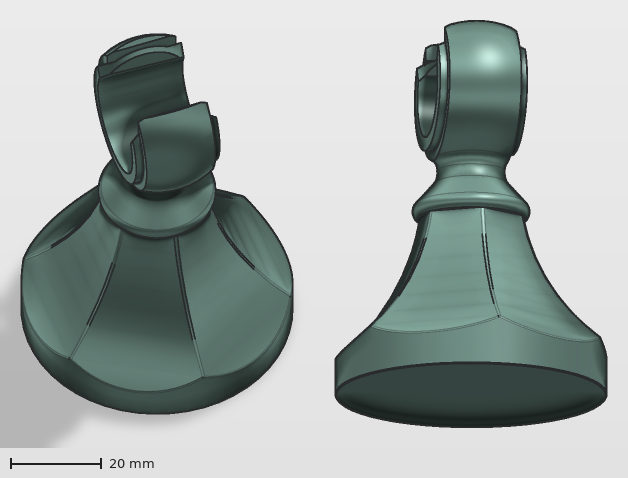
import cadquery as cq
import math

base_diameter = 60.0
base_radius = base_diameter / 2
base_height = 39.95
face_count = 6
edge_top_radius = 12.2
edge_mid_radius = 18.65
edge_mid_z = 23.6
edge_low_radius = 34.7
edge_low_z = 7.7
ridge_fillet = 0.8
rim_fillet = 0.5
foot_chamfer = 0.25
selection_margin = 0.8
rim_search_low_z = 4.1
rim_search_high_z = 13.2

collar_radius = 13.0
collar_top_radius = 12.4
collar_bottom_radius = 12.05
collar_top_z = 43.25
collar_mid_z = (base_height + collar_top_z) / 2
neck_radius = 7.5
neck_low_radius = 8.1
neck_waist_radius = 7.6
neck_low_z = 48.1
neck_waist_z = 49.4
neck_top_z = 50.9
neck_flare_radius = 9.0
neck_flare_z = 54.1
neck_flare_mid_radius = 7.85
neck_flare_mid_z = 52.75
ball_radius = 17.5
ball_half_width = 8.1
tip_half_gap = 11.1
wall_half_gap = 10.0
tip_drop = 0.9
top_z = 82.55
ball_z = top_z - math.sqrt(ball_radius**2 - tip_half_gap**2)

liner_radius = 13.5
liner_belly_radius = 14.9
liner_half_length = 9.8
bore_front_radius = 11.15
bore_back_radius = 10.5
lip_half_gap = 9.1
lip_face_radius = math.sqrt(liner_radius**2 - lip_half_gap**2)
lip_wall_radius = math.sqrt(liner_belly_radius**2 - wall_half_gap**2)
lip_slope = (lip_wall_radius - lip_face_radius) / (wall_half_gap - lip_half_gap)


def ball(radius):
    return cq.Workplane("XY").sphere(radius).translate((0, 0, ball_z))


def cross_cylinder(radius, half_length):
    """Cylinder along Y, centred on the ball."""
    return (
        cq.Workplane("XZ", origin=(0, 0, ball_z)).circle(radius).extrude(half_length, both=True)
    )


def flared_prism():
    """Pair of opposite skirt faces, extruded along X."""
    face_ratio = math.cos(math.pi / face_count)
    top = edge_top_radius * face_ratio
    mid = edge_mid_radius * face_ratio
    low = edge_low_radius * face_ratio
    return (
        cq.Workplane("YZ")
        .moveTo(-low, 0)
        .lineTo(low, 0)
        .lineTo(low, edge_low_z)
        .threePointArc((mid, edge_mid_z), (top, base_height))
        .lineTo(-top, base_height)
        .threePointArc((-mid, edge_mid_z), (-low, edge_low_z))
        .close()
        .extrude(2 * base_radius, both=True)
    )


def make_base():
    skirt = flared_prism()
    for index in range(1, face_count // 2):
        skirt = skirt.intersect(flared_prism().rotate((0, 0, 0), (0, 0, 1), index * 360 / face_count))
    ridges = cq.selectors.BoxSelector(
        (-base_radius, -base_radius, edge_low_z + selection_margin),
        (base_radius, base_radius, base_height - selection_margin),
    )
    skirt = skirt.edges(ridges).fillet(ridge_fillet)
    foot = cq.Workplane("XY").circle(base_radius).extrude(base_height)
    body = skirt.intersect(foot)
    rim = cq.selectors.BoxSelector(
        (-2 * base_radius, -2 * base_radius, rim_search_low_z),
        (2 * base_radius, 2 * base_radius, rim_search_high_z),
    )
    body = body.edges(rim).fillet(rim_fillet)
    return body.faces("<Z").edges().chamfer(foot_chamfer)


def make_neck():
    neck = (
        cq.Workplane("XZ")
        .moveTo(0, base_height)
        .lineTo(collar_bottom_radius, base_height)
        .threePointArc((collar_radius, collar_mid_z), (collar_top_radius, collar_top_z))
        .lineTo(neck_low_radius, neck_low_z)
        .threePointArc((neck_waist_radius, neck_waist_z), (neck_radius, neck_top_z))
        .threePointArc((neck_flare_mid_radius, neck_flare_mid_z), (neck_flare_radius, neck_flare_z))
        .lineTo(0, neck_flare_z)
        .close()
        .revolve(360, (0, 0, 0), (0, 1, 0))
    )
    trim_height = neck_flare_z - neck_top_z
    for side in (-1, 1):
        trim = cq.Workplane("XY").box(2 * ball_radius, ball_radius, trim_height).translate(
            (0, side * (ball_half_width + ball_radius / 2), neck_top_z + trim_height / 2)
        )
        neck = neck.cut(trim)
    return neck


def clip_opening():
    """Gap above the ball centre, with bevels that fall inward from the two tips."""
    tip_z = top_z - ball_z
    bevel_slope = tip_drop / (tip_half_gap - wall_half_gap)
    outer = ball_radius
    outer_z = tip_z + bevel_slope * (outer - tip_half_gap)
    return (
        cq.Workplane("XZ", origin=(0, 0, ball_z))
        .polyline([
            (-wall_half_gap, 0),
            (wall_half_gap, 0),
            (wall_half_gap, tip_z - tip_drop),
            (outer, outer_z),
            (-outer, outer_z),
            (-wall_half_gap, tip_z - tip_drop),
        ])
        .close()
        .extrude(ball_radius, both=True)
    )


def make_holder():
    clip = ball(ball_radius).intersect(cross_cylinder(2 * ball_radius, ball_half_width))
    clip = clip.union(make_neck()).cut(clip_opening())
    return clip.cut(cross_cylinder(liner_radius, liner_half_length)).cut(ball(liner_belly_radius))


def tapered_bore():
    return (
        cq.Workplane("XZ", origin=(0, -liner_half_length, ball_z))
        .circle(bore_front_radius)
        .workplane(offset=-2 * liner_half_length)
        .circle(bore_back_radius)
        .loft(combine=True)
    )


def liner_opening():
    """Upper gap of the liner: upright lips with conical bevels about the X axis."""
    gap = cq.Workplane("XY").box(
        2 * lip_half_gap, 4 * liner_radius, 2 * liner_radius, centered=(True, True, False)
    )
    end_x = liner_belly_radius
    end_radius = lip_face_radius + lip_slope * (end_x - lip_half_gap)
    reach = 2 * liner_belly_radius
    bevel = (
        cq.Workplane("XZ")
        .polyline([
            (lip_half_gap, lip_face_radius),
            (end_x, end_radius),
            (end_x, reach),
            (lip_half_gap, reach),
        ])
        .close()
        .revolve(360, (0, 0, 0), (1, 0, 0))
    )
    upper_half = cq.Workplane("XY").box(
        2 * reach, 2 * reach, reach, centered=(True, True, False)
    )
    bevels = bevel.union(bevel.mirror("YZ")).intersect(upper_half)
    return gap.union(bevels).translate((0, 0, ball_z))


def make_liner():
    belly = ball(liner_belly_radius).intersect(cross_cylinder(ball_radius, ball_half_width))
    sleeve = cross_cylinder(liner_radius, liner_half_length).union(belly)
    return sleeve.cut(tapered_bore()).cut(liner_opening())


base = make_base()
holder = make_holder()
liner = make_liner()

result = cq.Compound.makeCompound([base.val(), holder.val(), liner.val()])